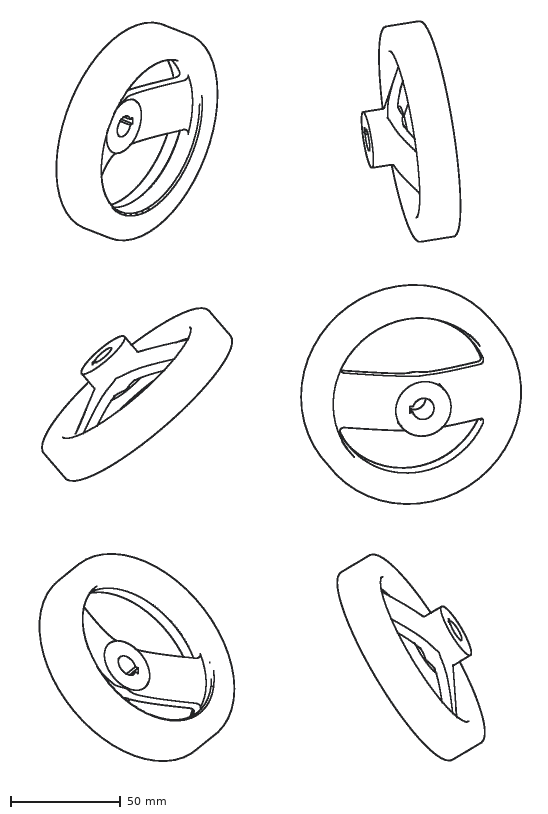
import cadquery as cq
import math

rim_radius = 50.0
rim_front = -17.0
rim_back = 0.0
front_bore_radius = 38.5
window_radius = 37.0
rim_edge_fillet = 0.9

hub_radius = 13.0
hub_front = -33.0
hub_back = -16.0
shaft_radius = 5.0
keyway_width = 3.0
keyway_reach = 6.4

web_front_at_hub = -22.9
web_thickness = 4.7
web_angle = 29.0
hub_fillet = 1.2
web_rim_fillet = 1.4
hub_back_fillet = 1.0
arm_half_width = hub_radius
window_corner_radius = 1.8


def web_front(radius):
    """Axial position of the web's front face at a given radius."""
    return web_front_at_hub + (radius - hub_radius) * math.tan(math.radians(web_angle))


def web_back(radius):
    """Axial position of the web's back face at a given radius."""
    return web_front(radius) + web_thickness


def fillet_circle(body, axial, radius, size):
    """Round the circular edge at one axial position and radius."""
    edge = body.edges("%CIRCLE").filter(
        lambda e: abs(e.arcCenter().x - axial) < 0.001 and abs(e.radius() - radius) < 0.001
    )
    return edge.fillet(size)


def make_wheel_body():
    """Rim, web and hub turned as one solid about the X axis."""
    corners = [
        (hub_front, hub_radius),
        (web_front(hub_radius), hub_radius),
        (web_front(front_bore_radius), front_bore_radius),
        (rim_front, front_bore_radius),
        (rim_front, rim_radius),
        (rim_back, rim_radius),
        (rim_back, window_radius),
        (web_back(window_radius), window_radius),
        (web_back(hub_radius), hub_radius),
        (hub_back, hub_radius),
    ]
    profile = [(hub_front, 0), *corners, (hub_back, 0)]
    body = cq.Workplane("XY").polyline(profile).close().revolve(360, (0, 0, 0), (1, 0, 0))

    rounded_circles = [
        (web_front(hub_radius), hub_radius, hub_fillet),
        (web_front(front_bore_radius), front_bore_radius, web_rim_fillet),
        (web_back(hub_radius), hub_radius, hub_back_fillet),
        (rim_front, front_bore_radius, rim_edge_fillet),
        (rim_front, rim_radius, rim_edge_fillet),
        (rim_back, rim_radius, rim_edge_fillet),
        (rim_back, window_radius, rim_edge_fillet),
    ]
    for axial, radius, size in rounded_circles:
        body = fillet_circle(body, axial, radius, size)
    return body


def make_window(side):
    """Circular-segment opening above (side = 1) or below (side = -1) the arms."""
    corner_y = math.sqrt(window_radius**2 - arm_half_width**2)
    return (
        cq.Workplane("YZ", origin=(hub_front, 0, 0))
        .moveTo(-corner_y, side * arm_half_width)
        .lineTo(corner_y, side * arm_half_width)
        .threePointArc((0, side * window_radius), (-corner_y, side * arm_half_width))
        .close()
        .extrude(rim_back - hub_front)
        .edges("|X")
        .fillet(window_corner_radius)
    )


def make_keyed_bore():
    """Shaft hole with a keyway on its +Y side."""
    hub_length = hub_back - hub_front
    plane = cq.Workplane("YZ", origin=(hub_front, 0, 0))
    bore = plane.circle(shaft_radius).extrude(hub_length)
    keyway = plane.center(keyway_reach / 2, 0).rect(keyway_reach, keyway_width).extrude(hub_length)
    return bore.union(keyway)


result = make_wheel_body()
for side in (1, -1):
    result = result.cut(make_window(side))
result = result.cut(make_keyed_bore())